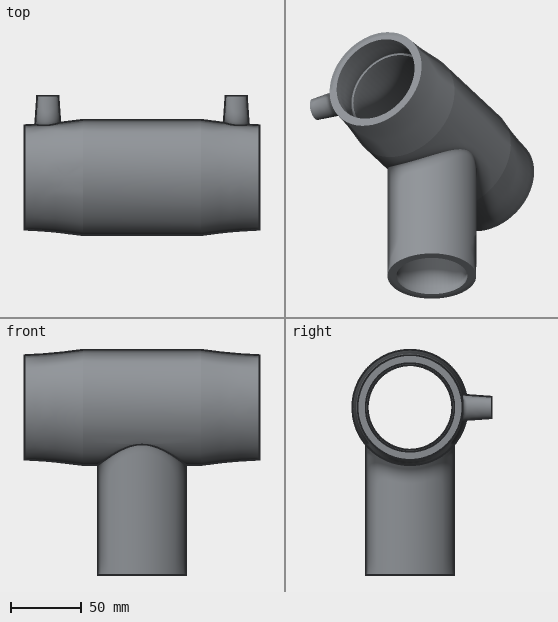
import cadquery as cq

length = 167.0
body_diameter = 82.0
end_diameter = 74.3
straight_length = 83.5
taper_sag = 0.58
bore_diameter = 59.8
socket_diameter = 63.0
socket_depth = 21.7

branch_diameter = socket_diameter
branch_bore_diameter = 50.5
height = 160.0
branch_reach = height - body_diameter / 2

depth = 99.0
terminal_reach = depth - body_diameter / 2
terminal_end_inset = 16.7
terminal_tip_diameter = 15.4
terminal_root_diameter = 18.7
terminal_root_offset = 34.2


def make_sleeve():
    """Revolve a straight middle with two concave tapered ends."""
    half_length = length / 2
    half_straight = straight_length / 2
    body_radius = body_diameter / 2
    end_radius = end_diameter / 2

    mid_x = (half_length + half_straight) / 2
    mid_radius = (body_radius + end_radius) / 2 - taper_sag

    return (
        cq.Workplane("XZ")
        .moveTo(-half_length, 0)
        .lineTo(-half_length, end_radius)
        .threePointArc((-mid_x, mid_radius), (-half_straight, body_radius))
        .lineTo(half_straight, body_radius)
        .threePointArc((mid_x, mid_radius), (half_length, end_radius))
        .lineTo(half_length, 0)
        .close()
        .revolve(360, (0, 0, 0), (1, 0, 0))
    )


def make_terminal(x):
    """Cone frustum rooted in the sleeve wall and narrowing toward its tip."""
    return cq.Workplane(
        cq.Solid.makeCone(
            terminal_root_diameter / 2,
            terminal_tip_diameter / 2,
            terminal_reach - terminal_root_offset,
            pnt=cq.Vector(x, terminal_root_offset, 0),
            dir=cq.Vector(0, 1, 0),
        )
    )


def make_cavity():
    """Through bore, a wider socket at each end, and the branch bore."""
    bore = cq.Workplane("YZ").circle(bore_diameter / 2).extrude(length / 2, both=True)
    socket = cq.Workplane("YZ", origin=(-length / 2, 0, 0)).circle(socket_diameter / 2).extrude(socket_depth)
    branch_bore = cq.Workplane("XY").circle(branch_bore_diameter / 2).extrude(-branch_reach)
    return bore.union(socket).union(socket.mirror("YZ")).union(branch_bore)


branch = cq.Workplane("XY").circle(branch_diameter / 2).extrude(-branch_reach)
outside = make_sleeve().union(branch)
for side in (-1, 1):
    outside = outside.union(make_terminal(side * (length / 2 - terminal_end_inset)))

result = outside.cut(make_cavity())